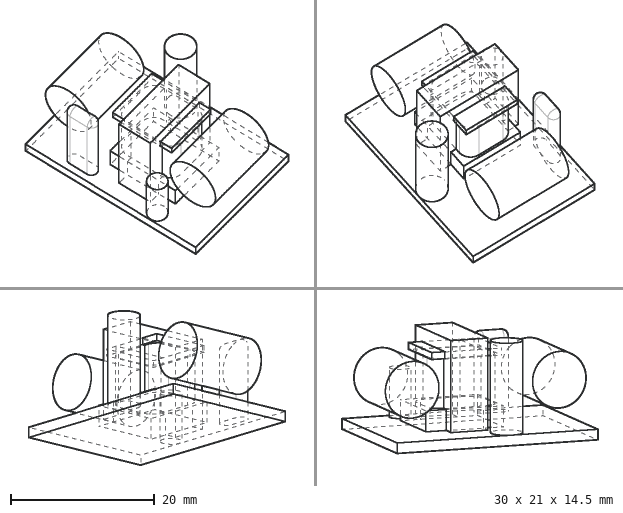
import cadquery as cq

BOARD_LENGTH = 30.0
BOARD_WIDTH = 21.0
BOARD_THICKNESS = 1.5

DRUM_DIAMETER = 8.0
DRUM_LENGTH = 12.0
DRUM_FRONT_Y = 4.5
DRUM_AXIS_Z = 8.0

TALL_POST_DIAMETER = 4.53
TALL_POST_HEIGHT = 13.0
TALL_POST_X = 12.75
SHORT_POST_DIAMETER = 3.0
SHORT_POST_HEIGHT = 7.0
SHORT_POST_X = 22.0
SHORT_POST_Y = 1.6

CAPSULE_LENGTH = 5.0
CAPSULE_WIDTH = 1.98
CAPSULE_HEIGHT = 11.5
CAPSULE_X = 8.52
CAPSULE_Y = 2.0

TRANSFORMER_Y = 9.27
CORE_X = 17.25
CORE_THICKNESS = 5.52
CORE_WIDTH = 13.5
CORE_HEIGHT = TALL_POST_HEIGHT
BASE_LENGTH = 11.52
BASE_WIDTH = 9.78
BASE_HEIGHT = 2.97
COIL_X = 16.77
WINDING_LENGTH = 9.95
WINDING_WIDTH = 8.05
WINDING_HEIGHT = 7.08
WINDING_CORNER_RADIUS = 1.98
PLATE_LENGTH = 10.4
PLATE_WIDTH = 8.82
PLATE_THICKNESS = 1.0

WINDING_BOTTOM_Z = BOARD_THICKNESS + BASE_HEIGHT
PLATE_BOTTOM_Z = WINDING_BOTTOM_Z + WINDING_HEIGHT


def block(length, width, height, center_x, center_y, bottom_z):
    """Box centred on a point in X and Y, standing on a given level."""
    box = cq.Workplane("XY").box(length, width, height, centered=(True, True, False))
    return box.translate((center_x, center_y, bottom_z))


def make_board():
    return cq.Workplane("XY").box(BOARD_LENGTH, BOARD_WIDTH, BOARD_THICKNESS, centered=False)


def make_drum(axis_x):
    """Cylinder lying along Y, clear of the board."""
    front = cq.Workplane("XZ", origin=(axis_x, DRUM_FRONT_Y, DRUM_AXIS_Z))
    return front.circle(DRUM_DIAMETER / 2).extrude(-DRUM_LENGTH)


def make_post(diameter, height, center_x, center_y):
    """Cylinder standing on the board."""
    foot = cq.Workplane("XY", origin=(center_x, center_y, BOARD_THICKNESS))
    return foot.circle(diameter / 2).extrude(height)


def make_capsule():
    """Slot-shaped column with a fully rounded top."""
    radius = CAPSULE_WIDTH / 2
    straight_length = CAPSULE_LENGTH - CAPSULE_WIDTH
    dome_z = BOARD_THICKNESS + CAPSULE_HEIGHT - radius
    foot = cq.Workplane("XY", origin=(CAPSULE_X, CAPSULE_Y, BOARD_THICKNESS))
    capsule = foot.slot2D(CAPSULE_LENGTH, CAPSULE_WIDTH).extrude(CAPSULE_HEIGHT - radius)
    ridge_start = cq.Workplane("YZ", origin=(CAPSULE_X - straight_length / 2, CAPSULE_Y, dome_z))
    capsule = capsule.union(ridge_start.circle(radius).extrude(straight_length))
    for side in (-1, 1):
        end_x = CAPSULE_X + side * straight_length / 2
        capsule = capsule.union(cq.Workplane("XY").sphere(radius).translate((end_x, CAPSULE_Y, dome_z)))
    return capsule


def make_base():
    return block(BASE_LENGTH, BASE_WIDTH, BASE_HEIGHT, CORE_X, TRANSFORMER_Y, BOARD_THICKNESS)


def make_winding():
    """Upright column with rounded corners."""
    column = block(WINDING_LENGTH, WINDING_WIDTH, WINDING_HEIGHT, COIL_X, TRANSFORMER_Y, WINDING_BOTTOM_Z)
    return column.edges("|Z").fillet(WINDING_CORNER_RADIUS)


def make_plate():
    return block(PLATE_LENGTH, PLATE_WIDTH, PLATE_THICKNESS, COIL_X, TRANSFORMER_Y, PLATE_BOTTOM_Z)


def make_core(enclosed_bodies):
    """Block with a passage along X that matches the bodies it encloses."""
    core = block(CORE_THICKNESS, CORE_WIDTH, CORE_HEIGHT, CORE_X, TRANSFORMER_Y, BOARD_THICKNESS)
    for body in enclosed_bodies:
        core = core.cut(body)
    return core


board = make_board()
drums = [make_drum(axis_x) for axis_x in (DRUM_DIAMETER / 2, BOARD_LENGTH - DRUM_DIAMETER / 2)]
tall_post = make_post(TALL_POST_DIAMETER, TALL_POST_HEIGHT, TALL_POST_X, BOARD_WIDTH - TALL_POST_DIAMETER / 2)
short_post = make_post(SHORT_POST_DIAMETER, SHORT_POST_HEIGHT, SHORT_POST_X, SHORT_POST_Y)
capsule = make_capsule()
base = make_base()
winding = make_winding()
plate = make_plate()
core = make_core([base, winding, plate])

result = cq.Compound.makeCompound([
    board.val(),
    *[drum.val() for drum in drums],
    tall_post.val(),
    short_post.val(),
    capsule.val(),
    base.val(),
    winding.val(),
    plate.val(),
    core.val(),
])